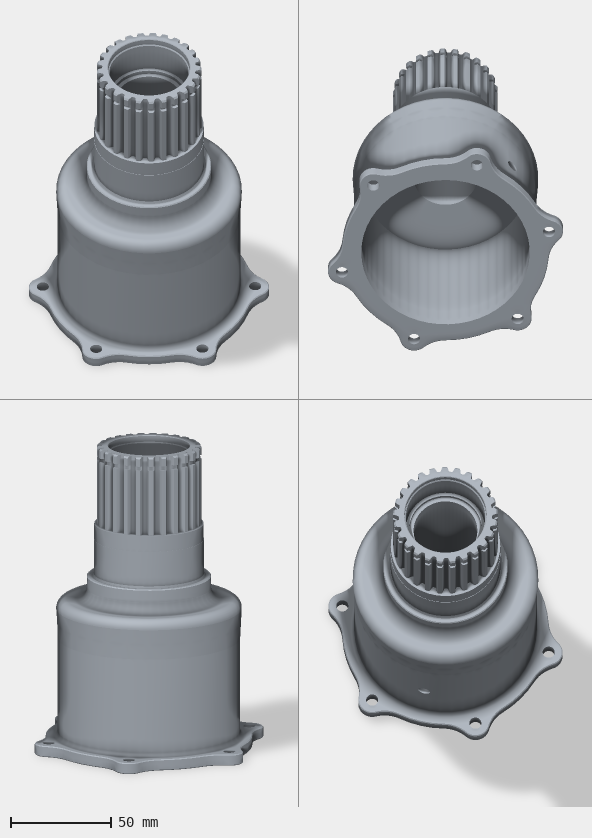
import cadquery as cq
import math

total_height = 154.7
flange_thickness = 5.7
bell_foot_fillet = 2.0
taper_start_height = 55.7
bell_top_height = 76.0
neck_foot_fillet = 5.5
collar_top_height = 88.0
seat_chamfer = 1.0
seat_top_height = 106.6
spline_start_height = 114.6

bell_radius = 45.6
bell_top_radius = 46.4
bell_corner_radius = 5.0
collar_radius = 31.1
collar_edge_chamfer = 0.5
seat_radius = 27.5
shoulder_radius = 27.4

lobe_count = 6
lobe_first_angle = 30.0
lobe_radius = 7.0
bolt_circle_radius = 53.0
bolt_hole_diameter = 6.0
flange_base_radius = 51.7
flange_hollow_radius = 17.3
flange_edge_chamfer = 0.5

tooth_count = 25
spline_tip_radius = 26.1
spline_root_radius = 23.4
flank_start_radius = 24.0
flank_middle_radius = 25.0
root_flat_width = 1.0
root_corner_radius = 0.8
space_start_width = 2.3
space_middle_width = 3.2
tooth_tip_width = 2.0
spline_end_chamfer = 0.8
ring_groove_radius = 24.5
ring_groove_bottom = 147.9
ring_groove_top = 150.0

mouth_radius = 20.4
mouth_chamfer = 0.3
mouth_depth = 3.2
socket_radius = 19.8
socket_chamfer = 0.5
socket_depth = 19.0
step_radius = 18.1
step_depth = 21.0
bore_radius = 16.0

wall_thickness = 3.5
cavity_radius = bell_radius - wall_thickness
cavity_height = bell_top_height - wall_thickness

side_hole_diameter = 6.2
side_hole_height = 31.9


def polar(radius, degrees):
    angle = math.radians(degrees)
    return (radius * math.cos(angle), radius * math.sin(angle))


def disc(radius, bottom, top):
    return cq.Workplane("XY").workplane(offset=bottom).circle(radius).extrude(top - bottom)


def flange():
    """Flange plate: a round plate with lobes blended in by hollow arcs."""
    hollow_distance = flange_base_radius + flange_hollow_radius
    lobe_to_hollow = lobe_radius + flange_hollow_radius
    hollow_angle = math.degrees(math.acos(
        (hollow_distance**2 + bolt_circle_radius**2 - lobe_to_hollow**2)
        / (2 * hollow_distance * bolt_circle_radius)
    ))
    hollow_x, hollow_y = polar(hollow_distance, hollow_angle)
    blend_share = lobe_radius / lobe_to_hollow
    lobe_end_x = bolt_circle_radius + (hollow_x - bolt_circle_radius) * blend_share
    lobe_end_y = hollow_y * blend_share
    lobe_end_radius = math.hypot(lobe_end_x, lobe_end_y)
    lobe_end_angle = math.degrees(math.atan2(lobe_end_y, lobe_end_x))

    pitch = 360.0 / lobe_count
    outline = cq.Workplane("XY").moveTo(*polar(lobe_end_radius, lobe_first_angle - lobe_end_angle))
    for index in range(lobe_count):
        middle = lobe_first_angle + index * pitch
        following = middle + pitch
        outline = (
            outline
            .threePointArc(
                polar(bolt_circle_radius + lobe_radius, middle),
                polar(lobe_end_radius, middle + lobe_end_angle),
            )
            .radiusArc(polar(flange_base_radius, middle + hollow_angle), flange_hollow_radius)
            .threePointArc(
                polar(flange_base_radius, middle + pitch / 2),
                polar(flange_base_radius, following - hollow_angle),
            )
            .radiusArc(polar(lobe_end_radius, following - lobe_end_angle), flange_hollow_radius)
        )
    plate = outline.close().extrude(flange_thickness)
    plate = plate.faces("<Z or >Z").chamfer(flange_edge_chamfer)
    bolt_holes = (
        cq.Workplane("XY")
        .polarArray(bolt_circle_radius, lobe_first_angle, 360, lobe_count)
        .circle(bolt_hole_diameter / 2)
        .extrude(flange_thickness)
    )
    return plate.cut(bolt_holes)


def turned_body():
    """Bell, collar and seat as one turned profile, up to the start of the spline."""
    corner_drop = bell_corner_radius * (1 - math.sqrt(0.5))
    foot_top = flange_thickness + bell_foot_fillet
    neck_foot_radius = collar_radius + neck_foot_fillet
    profile = (
        cq.Workplane("XZ")
        .lineTo(bell_radius + bell_foot_fillet, 0)
        .lineTo(bell_radius + bell_foot_fillet, flange_thickness)
        .radiusArc((bell_radius, foot_top), bell_foot_fillet)
        .lineTo(bell_radius, taper_start_height)
        .lineTo(bell_top_radius, bell_top_height - bell_corner_radius)
        .threePointArc(
            (bell_top_radius - corner_drop, bell_top_height - corner_drop),
            (bell_top_radius - bell_corner_radius, bell_top_height),
        )
        .lineTo(neck_foot_radius, bell_top_height)
        .radiusArc((collar_radius, bell_top_height + neck_foot_fillet), neck_foot_fillet)
        .lineTo(collar_radius, collar_top_height - collar_edge_chamfer)
        .lineTo(collar_radius - collar_edge_chamfer, collar_top_height)
        .lineTo(seat_radius + seat_chamfer, collar_top_height)
        .lineTo(seat_radius, collar_top_height + seat_chamfer)
        .lineTo(seat_radius, seat_top_height)
        .lineTo(shoulder_radius, seat_top_height)
        .lineTo(shoulder_radius, spline_start_height)
        .lineTo(0, spline_start_height)
        .close()
    )
    return profile.revolve(360, (0, 0, 0), (0, 1, 0))


def spline():
    """Toothed end with a retaining-ring groove and a chamfered tip."""
    length = total_height - spline_start_height
    blank = disc(spline_tip_radius, spline_start_height, total_height)
    blank = blank.faces(">Z").chamfer(spline_end_chamfer)
    ring_groove = disc(shoulder_radius, ring_groove_bottom, ring_groove_top).cut(
        disc(ring_groove_radius, ring_groove_bottom, ring_groove_top)
    )
    blank = blank.cut(ring_groove)

    space_tip_half = (2 * math.pi * spline_tip_radius / tooth_count - tooth_tip_width) / 2
    flat_half = root_flat_width / 2
    start_half = space_start_width / 2
    middle_half = space_middle_width / 2
    space = (
        cq.Workplane("XY")
        .workplane(offset=spline_start_height)
        .moveTo(flank_start_radius, -start_half)
        .radiusArc((spline_root_radius, -flat_half), root_corner_radius)
        .lineTo(spline_root_radius, flat_half)
        .radiusArc((flank_start_radius, start_half), root_corner_radius)
        .threePointArc((flank_middle_radius, middle_half), (spline_tip_radius, space_tip_half))
        .lineTo(shoulder_radius, space_tip_half)
        .lineTo(shoulder_radius, -space_tip_half)
        .lineTo(spline_tip_radius, -space_tip_half)
        .threePointArc((flank_middle_radius, -middle_half), (flank_start_radius, -start_half))
        .close()
        .extrude(length)
    )
    pitch = 360.0 / tooth_count
    for index in range(tooth_count):
        blank = blank.cut(space.rotate((0, 0, 0), (0, 0, 1), (index + 0.5) * pitch))
    return blank


def lead_in(radius, chamfer, top):
    """Short 45 degree cone that widens a bore of the given radius up to its top edge."""
    return (
        cq.Workplane("XY")
        .workplane(offset=top)
        .circle(radius + chamfer)
        .extrude(-chamfer, taper=45)
    )


def inside():
    """Open cavity of the bell and the stepped bore above it."""
    hollow = disc(cavity_radius, 0, cavity_height).union(disc(bore_radius, 0, total_height))
    steps = ((mouth_radius, mouth_depth), (socket_radius, socket_depth), (step_radius, step_depth))
    for radius, depth in steps:
        hollow = hollow.union(disc(radius, total_height - depth, total_height))
    hollow = hollow.union(lead_in(mouth_radius, mouth_chamfer, total_height))
    return hollow.union(lead_in(socket_radius, socket_chamfer, total_height - mouth_depth))


def side_hole():
    """Radial hole through the bell wall on the -X side."""
    return (
        cq.Workplane("YZ")
        .center(0, side_hole_height)
        .circle(side_hole_diameter / 2)
        .extrude(-bell_top_radius)
    )


result = flange().union(turned_body()).union(spline()).cut(inside()).cut(side_hole())